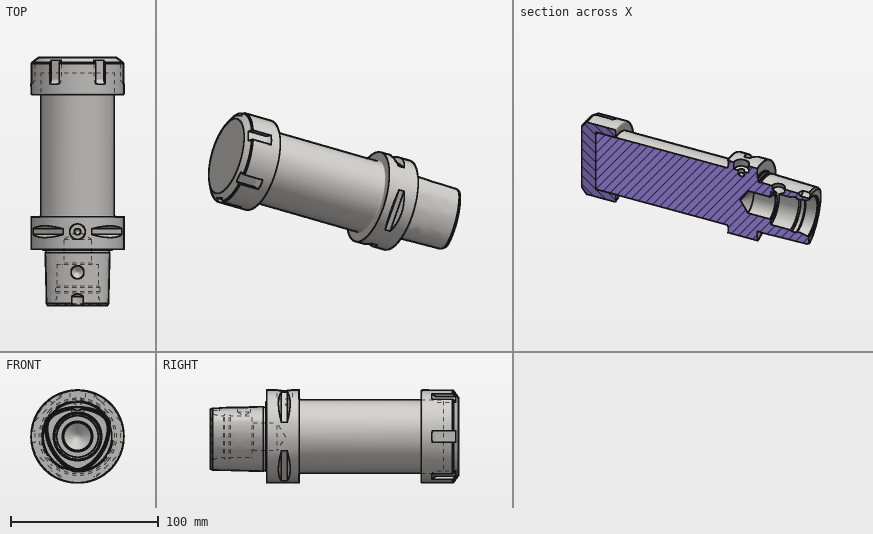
import cadquery as cq
import math


FLANGE_RADIUS = 31.5
FLANGE_LENGTH = 22.0
NECK_RADIUS = 25.0
NECK_ROOT_FILLET = 1.0

SHANK_LENGTH = 38.0
SHANK_DIAMETER = 44.0
SHANK_TAPER = 1 / 20
LOBE_ECCENTRICITY = 1.7
TIP_CHAMFER = 0.9
TIP_CHAMFER_LENGTH = 1.5
RELIEF_LENGTH = 2.4
RELIEF_DEPTH = 0.4
COLLAR_RADIUS = 23.2
COLLAR_FILLET = 0.7

MOUTH_RADIUS = 16.4
MOUTH_CHAMFER = 0.8
BORE_RADIUS = 14.0
BORE_DEPTH = 28.0
MOUTH_CONE_END = 6.5
LIP_END = 8.5
CLAMP_GROOVE_END = 13.5
CLAMP_GROOVE_DEPTH = 1.0
CORE_RADIUS = 9.4
CORE_CHAMFER = 0.9
CORE_DEPTH = 45.0
DRILL_TIP_ANGLE = 59.0

FLANGE_HOLE_Y = 12.0
FLANGE_HOLE_RADIUS = 5.25
FLANGE_HOLE_FLOOR = 25.5
JET_RADIUS = 2.1
JET_FLOOR = 22.0
SHANK_HOLE_Y = -15.5
SHANK_HOLE_RADIUS = 4.4
SHANK_HOLE_FLOOR = 16.8

NOTCH_RADIUS = 6.0
NOTCH_FLOOR = 17.7
NOTCH_LENGTH = 6.0
NOTCH_RUNOUT = 2.2

GROOVE_COUNT = 4
GROOVE_Y = 12.0
GROOVE_DEPTH = 3.5
GROOVE_FLOOR_WIDTH = 3.8
GROOVE_MOUTH_WIDTH = 8.0

NUT_RADIUS = 31.5
NUT_BACK_Y = 104.7
NUT_FRONT_Y = 130.0
NUT_FACE_RADIUS = 26.2
NUT_CONE_RADIUS = 31.0
NUT_CONE_LENGTH = 3.3
NUT_CONE_ROUND = 0.9
NUT_BACK_ROUND = 1.2
NECK_SPIGOT_LENGTH = 15.0
NECK_END_Y = NUT_BACK_Y + NECK_SPIGOT_LENGTH
SLOT_COUNT = 6
SLOT_WIDTH = 7.5
SLOT_FLOOR_RADIUS = 28.8
SLOT_LENGTH = 18.1
SLOT_RUNOUT_RADIUS = 1.75


def turned(points):
    """Solid of revolution about Y from (radius, y) outline points."""
    return cq.Workplane("XY").polyline(points).close().revolve(360, (0, 0, 0), (0, 1, 0))


def lobed_section(mean_diameter):
    """Curve of constant width with three lobes, one of them pointing to -Z."""

    def point(t):
        angle = 2 * math.pi * t
        support = mean_diameter / 2 + LOBE_ECCENTRICITY * math.sin(3 * angle)
        slope = 3 * LOBE_ECCENTRICITY * math.cos(3 * angle)
        x = support * math.cos(angle) - slope * math.sin(angle)
        z = support * math.sin(angle) + slope * math.cos(angle)
        return x, z

    return point


def lobed_frustum(y_start, diameter_start, y_end, diameter_end):
    """Three-lobed solid between two Y stations, the second nearer the tip."""
    return (
        cq.Workplane("XZ", origin=(0, y_start, 0))
        .parametricCurve(lobed_section(diameter_start))
        .workplane(offset=y_start - y_end)
        .parametricCurve(lobed_section(diameter_end))
        .loft(ruled=True)
    )


def shank():
    chamfer_y = TIP_CHAMFER_LENGTH - SHANK_LENGTH
    chamfer_diameter = SHANK_DIAMETER + SHANK_TAPER * chamfer_y
    tip_diameter = chamfer_diameter - 2 * TIP_CHAMFER
    shoulder_diameter = SHANK_DIAMETER - SHANK_TAPER * RELIEF_LENGTH
    relief_diameter = shoulder_diameter - 2 * RELIEF_DEPTH
    relief = lobed_frustum(0, relief_diameter, -RELIEF_LENGTH, relief_diameter)
    taper = lobed_frustum(-RELIEF_LENGTH, shoulder_diameter, chamfer_y, chamfer_diameter)
    tip = lobed_frustum(chamfer_y, chamfer_diameter, -SHANK_LENGTH, tip_diameter)
    return relief.union(taper).union(tip).union(collar())


def collar():
    """Thin collar with a concave edge where the shank leaves the flange face."""
    return (
        cq.Workplane("XY")
        .lineTo(COLLAR_RADIUS + COLLAR_FILLET, 0)
        .radiusArc((COLLAR_RADIUS, -COLLAR_FILLET), -COLLAR_FILLET)
        .lineTo(0, -COLLAR_FILLET)
        .close()
        .revolve(360, (0, 0, 0), (0, 1, 0))
    )


def flange_and_neck():
    flange = cq.Workplane("XZ").circle(FLANGE_RADIUS).extrude(-FLANGE_LENGTH)
    root_y = FLANGE_LENGTH + NECK_ROOT_FILLET
    neck = (
        cq.Workplane("XY")
        .moveTo(0, FLANGE_LENGTH)
        .lineTo(NECK_RADIUS + NECK_ROOT_FILLET, FLANGE_LENGTH)
        .radiusArc((NECK_RADIUS, root_y), NECK_ROOT_FILLET)
        .lineTo(NECK_RADIUS, NECK_END_Y)
        .lineTo(0, NECK_END_Y)
        .close()
        .revolve(360, (0, 0, 0), (0, 1, 0))
    )
    return flange.union(neck)


def drill_point_length(radius):
    """Length of the cone that a drill leaves at the bottom of its hole."""
    return radius / math.tan(math.radians(DRILL_TIP_ANGLE))


def shank_bore():
    """Stepped bore open at the shank tip, with a clamping groove near its mouth."""
    tip = -SHANK_LENGTH
    step_y = tip + BORE_DEPTH
    core_y = tip + CORE_DEPTH
    groove_radius = BORE_RADIUS + CLAMP_GROOVE_DEPTH
    return turned(
        [
            (0, tip),
            (MOUTH_RADIUS, tip),
            (MOUTH_RADIUS - MOUTH_CHAMFER, tip + MOUTH_CHAMFER),
            (BORE_RADIUS, tip + MOUTH_CONE_END),
            (BORE_RADIUS, tip + LIP_END),
            (groove_radius, tip + LIP_END + CLAMP_GROOVE_DEPTH),
            (groove_radius, tip + CLAMP_GROOVE_END - CLAMP_GROOVE_DEPTH),
            (BORE_RADIUS, tip + CLAMP_GROOVE_END),
            (BORE_RADIUS, step_y),
            (CORE_RADIUS + CORE_CHAMFER, step_y),
            (CORE_RADIUS, step_y + CORE_CHAMFER),
            (CORE_RADIUS, core_y),
            (0, core_y + drill_point_length(CORE_RADIUS)),
        ]
    )


def radial_hole(y, radius, floor_z):
    """Hole drilled from above down to the height floor_z."""
    return cq.Workplane("XY", origin=(0, y, floor_z)).circle(radius).extrude(FLANGE_RADIUS - floor_z)


def drilled_hole(y, radius, floor_z):
    """Radial hole whose floor ends in a drill point."""
    depth = drill_point_length(radius)
    point = cq.Solid.makeCone(radius, 0, depth, cq.Vector(0, y, floor_z), cq.Vector(0, 0, -1))
    return radial_hole(y, radius, floor_z).union(cq.Workplane(obj=point))


def tip_notch():
    """Round-bottomed notch along Y whose inner end rises as a cone."""
    axis_z = NOTCH_FLOOR + NOTCH_RADIUS
    tip = -SHANK_LENGTH
    outline = [
        (0, tip),
        (NOTCH_RADIUS, tip),
        (NOTCH_RADIUS, tip + NOTCH_LENGTH),
        (NOTCH_RADIUS - NOTCH_RUNOUT, tip + NOTCH_LENGTH + NOTCH_RUNOUT),
        (0, tip + NOTCH_LENGTH + NOTCH_RUNOUT),
    ]
    return turned(outline).translate((0, 0, axis_z))


def gripper_groove():
    """Straight groove with sloping walls across the +X side of the flange."""
    floor_x = FLANGE_RADIUS - GROOVE_DEPTH
    half_floor = GROOVE_FLOOR_WIDTH / 2
    half_mouth = GROOVE_MOUTH_WIDTH / 2
    return (
        cq.Workplane("XY")
        .polyline(
            [
                (floor_x, GROOVE_Y - half_floor),
                (FLANGE_RADIUS, GROOVE_Y - half_mouth),
                (FLANGE_RADIUS, GROOVE_Y + half_mouth),
                (floor_x, GROOVE_Y + half_floor),
            ]
        )
        .close()
        .extrude(FLANGE_RADIUS, both=True)
    )


def make_holder():
    body = flange_and_neck().union(shank()).cut(shank_bore())
    body = body.cut(radial_hole(FLANGE_HOLE_Y, FLANGE_HOLE_RADIUS, FLANGE_HOLE_FLOOR))
    body = body.cut(drilled_hole(FLANGE_HOLE_Y, JET_RADIUS, JET_FLOOR))
    body = body.cut(drilled_hole(SHANK_HOLE_Y, SHANK_HOLE_RADIUS, SHANK_HOLE_FLOOR))
    body = body.cut(tip_notch())
    groove = gripper_groove()
    for index in range(GROOVE_COUNT):
        angle = 360 / GROOVE_COUNT * (index + 0.5)
        body = body.cut(groove.rotate((0, 0, 0), (0, 1, 0), angle))
    return body


def nut_blank():
    cone_y = NUT_FRONT_Y - NUT_CONE_LENGTH
    return (
        cq.Workplane("XY")
        .moveTo(0, NUT_BACK_Y)
        .lineTo(NUT_RADIUS - NUT_BACK_ROUND, NUT_BACK_Y)
        .radiusArc((NUT_RADIUS, NUT_BACK_Y + NUT_BACK_ROUND), -NUT_BACK_ROUND)
        .lineTo(NUT_RADIUS, cone_y - NUT_CONE_ROUND)
        .lineTo(NUT_CONE_RADIUS, cone_y)
        .lineTo(NUT_FACE_RADIUS, NUT_FRONT_Y)
        .lineTo(0, NUT_FRONT_Y)
        .close()
        .revolve(360, (0, 0, 0), (0, 1, 0))
    )


def wrench_slot():
    """Slot open to the front on the +X side; its floor curves up into a 45 degree run-out."""
    end_y = NUT_FRONT_Y - SLOT_LENGTH
    arc_rise = SLOT_RUNOUT_RADIUS * (1 - math.cos(math.pi / 4))
    arc_length = SLOT_RUNOUT_RADIUS * math.sin(math.pi / 4)
    ramp_x = SLOT_FLOOR_RADIUS + arc_rise
    ramp_y = end_y + NUT_RADIUS - ramp_x
    return (
        cq.Workplane("XY")
        .moveTo(SLOT_FLOOR_RADIUS, NUT_FRONT_Y)
        .lineTo(SLOT_FLOOR_RADIUS, ramp_y + arc_length)
        .radiusArc((ramp_x, ramp_y), -SLOT_RUNOUT_RADIUS)
        .lineTo(NUT_RADIUS, end_y)
        .lineTo(NUT_RADIUS, NUT_FRONT_Y)
        .close()
        .extrude(SLOT_WIDTH / 2, both=True)
    )


def neck_recess():
    """Blind recess in the back of the nut that takes the end of the neck."""
    back = cq.Workplane("XZ", origin=(0, NUT_BACK_Y, 0))
    return back.circle(NECK_RADIUS).extrude(-NECK_SPIGOT_LENGTH)


def make_nut():
    nut = nut_blank().cut(neck_recess())
    slot = wrench_slot()
    for index in range(SLOT_COUNT):
        nut = nut.cut(slot.rotate((0, 0, 0), (0, 1, 0), 360 / SLOT_COUNT * index))
    return nut


holder = make_holder()
nut = make_nut()
result = cq.Compound.makeCompound([holder.val(), nut.val()])